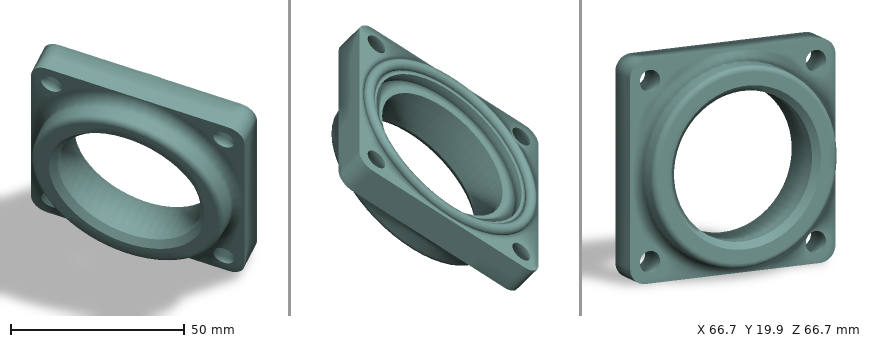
import cadquery as cq
import math

plate_side = 66.65
plate_thickness = 9.45
corner_radius = 5.0

hole_diameter = 6.5
hole_spacing = 53.85

boss_height = 8.4
boss_base_radius = 30.65
boss_draft = 5.0
boss_root_fillet = 2.8
boss_rim_fillet = 1.65

bore_radius = 22.4
mouth_chamfer = 1.9
recess_radius = 27.0
recess_depth = 3.0

seal_outer_radius = 31.85
seal_tube_radius = 1.7
seal_protrusion = 2.05
seal_centre_radius = seal_outer_radius - seal_tube_radius
seal_centre_y = plate_thickness + seal_protrusion - seal_tube_radius


def make_plate():
    """Square plate with rounded corners, extending from Y = 0 toward +Y."""
    return (
        cq.Workplane("XZ")
        .rect(plate_side, plate_side)
        .extrude(-plate_thickness)
        .edges("|Y")
        .fillet(corner_radius)
    )


def make_boss():
    """Drafted boss with its rounded rim and the concave fillet at its root."""
    draft = math.radians(boss_draft)

    def wall_radius(depth):
        return boss_base_radius - depth * math.tan(draft)

    def arc_middle(centre, radius, direction):
        angle = (math.pi / 2 + draft) / 2
        return (
            centre[0] + direction * radius * math.cos(angle),
            centre[1] - direction * radius * math.sin(angle),
        )

    root_end_depth = boss_root_fillet * (1 - math.sin(draft))
    root_end = (wall_radius(root_end_depth), -root_end_depth)
    root_centre = (root_end[0] + boss_root_fillet * math.cos(draft), -boss_root_fillet)
    root_middle = arc_middle(root_centre, boss_root_fillet, -1)

    rim_start_depth = boss_height - boss_rim_fillet * (1 - math.sin(draft))
    rim_start = (wall_radius(rim_start_depth), -rim_start_depth)
    rim_centre = (
        rim_start[0] - boss_rim_fillet * math.cos(draft),
        boss_rim_fillet - boss_height,
    )
    rim_middle = arc_middle(rim_centre, boss_rim_fillet, 1)

    return (
        cq.Workplane("XY")
        .moveTo(0, 0)
        .lineTo(root_centre[0], 0)
        .threePointArc(root_middle, root_end)
        .lineTo(*rim_start)
        .threePointArc(rim_middle, (rim_centre[0], -boss_height))
        .lineTo(0, -boss_height)
        .close()
        .revolve(360, (0, 0), (0, 1))
    )


def make_bore_cutter():
    """Cutting body for the through bore and its chamfered mouth and rear recess."""
    return (
        cq.Workplane("XY")
        .moveTo(0, -boss_height)
        .lineTo(bore_radius + mouth_chamfer, -boss_height)
        .lineTo(bore_radius, mouth_chamfer - boss_height)
        .lineTo(bore_radius, plate_thickness - recess_depth)
        .lineTo(recess_radius, plate_thickness - recess_depth)
        .lineTo(recess_radius, plate_thickness)
        .lineTo(0, plate_thickness)
        .close()
        .revolve(360, (0, 0), (0, 1))
    )


def make_mounting_holes():
    """Cutting bodies for the four corner holes through the plate."""
    return (
        cq.Workplane("XZ")
        .rect(hole_spacing, hole_spacing, forConstruction=True)
        .vertices()
        .circle(hole_diameter / 2)
        .extrude(-plate_thickness)
    )


def make_seal():
    """O-ring of round section."""
    return (
        cq.Workplane("XY")
        .center(seal_centre_radius, seal_centre_y)
        .circle(seal_tube_radius)
        .revolve(360, (-seal_centre_radius, 0), (-seal_centre_radius, 1))
    )


seal = make_seal()

flange = (
    make_plate()
    .union(make_boss())
    .cut(make_bore_cutter())
    .cut(make_mounting_holes())
    .cut(seal)
)

result = cq.Compound.makeCompound([flange.solids().val(), seal.val()])